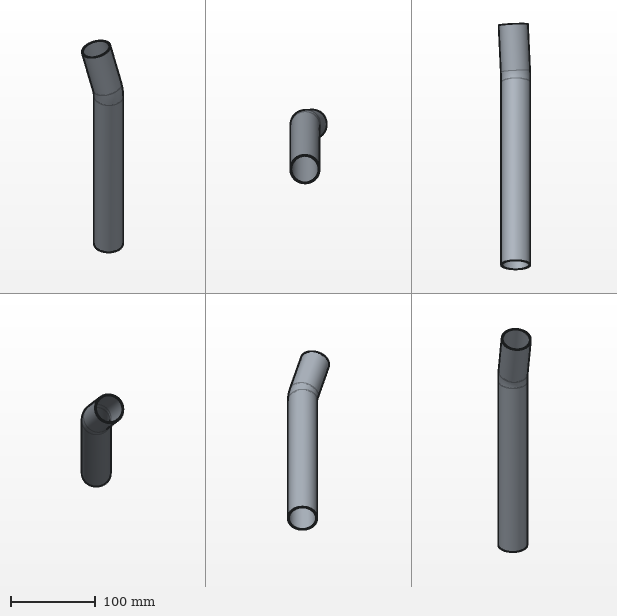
import cadquery as cq
import math

total_height = 298.5
outer_diameter = 35.0
wall = 1.5
bend_angle = 15.0
bend_radius = 52.2
upper_length = 55.0

outer_radius = outer_diameter / 2
lean = math.radians(bend_angle)
bend_rise = bend_radius * math.sin(lean)
upper_rise = upper_length * math.cos(lean)
rim_rise = outer_radius * math.sin(lean)
lower_length = total_height - bend_rise - upper_rise - rim_rise


def bent_rod(radius):
    """Solid rod: vertical lower leg, bend, then tilted upper leg."""
    lower_leg = cq.Workplane("XY").circle(radius).extrude(lower_length)
    bend = (
        cq.Workplane("XY", origin=(0, 0, lower_length))
        .circle(radius)
        .revolve(bend_angle, (-bend_radius, 0), (-bend_radius, -1))
    )
    bend_end = cq.Plane(
        origin=(-bend_radius * (1 - math.cos(lean)), 0, lower_length + bend_rise),
        xDir=(math.cos(lean), 0, math.sin(lean)),
        normal=(-math.sin(lean), 0, math.cos(lean)),
    )
    upper_leg = cq.Workplane(bend_end).circle(radius).extrude(upper_length)
    return lower_leg.union(bend).union(upper_leg)


result = bent_rod(outer_radius).cut(bent_rod(outer_radius - wall))